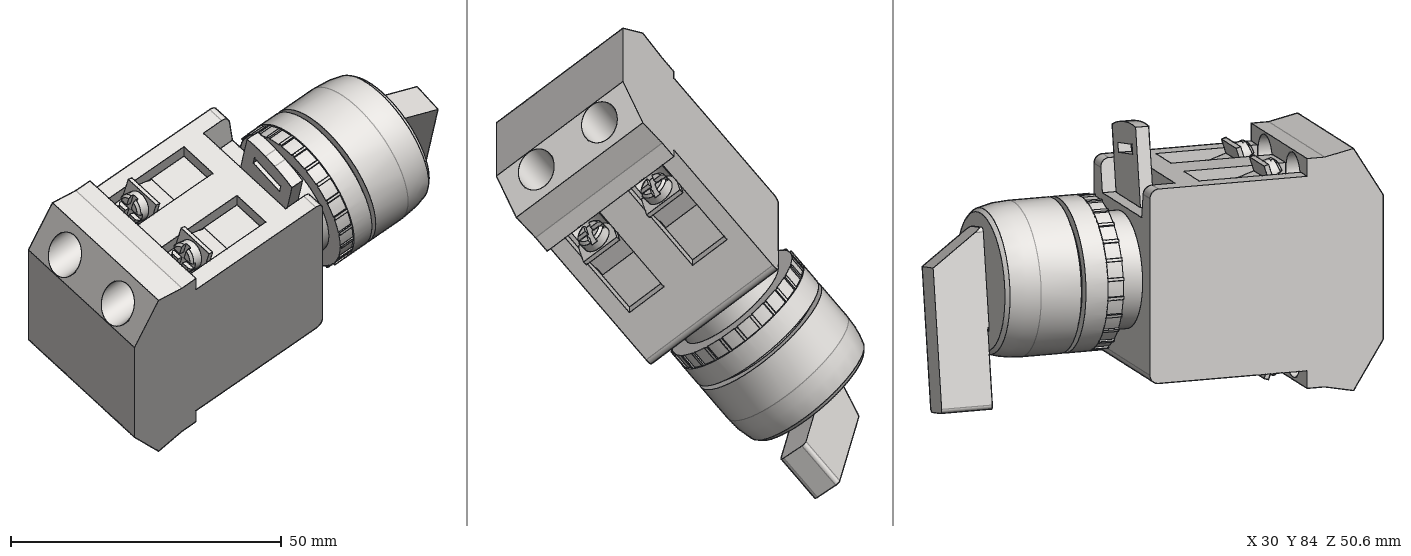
import cadquery as cq
import math


block_width = 30.0
block_half_height = 18.5
block_back_y = -45.95
corner_radius = 1.7
shoulder_y = -30.9
shoulder_half_height = 21.8
shoulder_slope_y = -34.35
peak_y = -40.1
peak_half_height = 23.0
back_half_height = 13.7

terminal_x = 7.5
pocket_width = 8.15
pocket_start_y = -10.9
pocket_floor_z = 15.6
wire_hole_radius = 3.8
wire_hole_z = 17.55
wire_hole_end_y = -25.2

clamp_tilt = 18.0
clamp_y = -25.9
clamp_z = 16.7
clamp_width = 7.9
clamp_depth = 4.6
clamp_plate_height = 3.95
clamp_plate_thickness = 0.9
clamp_body_height = 1.1
clamp_body_length = 8.4
screw_radius = 2.85
screw_lift = 0.6
screw_height = 2.5
screw_edge_chamfer = 0.5
screw_slot_width = 1.3
screw_slot_depth = 1.0

neck_radius = 11.0
neck_embed = 0.8
head_radius = 14.5
knurl_radius = 14.2
groove_radius = 12.5
ring_back_y = 4.95
knurl_end_y = 8.1
groove_start_y = 12.4
groove_end_y = 13.35
bezel_taper_y = 21.25
bezel_rim_y = 27.05
bezel_rim_radius = 13.6
bezel_face_y = 27.8
bezel_face_radius = 12.9
bezel_bulge = 0.25
ridge_count = 25
ridge_width = 0.6

turn_angle = 10.0
handle_width = 6.05
handle_tip_y = 38.05
handle_reach = 23.6
handle_back_y = 28.05
handle_end_radius = 0.8
handle_tip_top = 3.45
handle_base_top = 10.2
handle_base_y = 28.2
handle_root_bottom = -9.2
handle_embed = 0.8

lever_slot_length = 6.1
lever_slot_half_width = 11.6
lever_slot_floor_z = 12.2
lever_front_y = -2.5
lever_thickness = 2.6
lever_center = 1.35
lever_width = 12.85
lever_corner_height = 26.4
lever_crown_height = 27.1
lever_flat_width = 2.7
lever_crown_bulge = 0.2
lever_root_height = 10.5
window_length = 7.6
window_height = 1.85
window_center_height = 22.2


def xz_plane(y):
    """Plane facing -Y, with local x along X and local y along Z."""
    return cq.Workplane("XZ", origin=(0, y, 0))


def mirrored_down(solid):
    """Join a solid with its mirror image below the XY plane."""
    return solid.union(solid.mirror("XY"))


def make_block():
    half_outline = [
        (0, 0),
        (0, block_half_height),
        (shoulder_y, block_half_height),
        (shoulder_y, shoulder_half_height),
        (shoulder_slope_y, shoulder_half_height),
        (peak_y, peak_half_height),
        (block_back_y, back_half_height),
        (block_back_y, 0),
    ]
    upper = cq.Workplane("YZ").polyline(half_outline).close().extrude(block_width / 2, both=True)
    return mirrored_down(upper).edges("|X and >Y").fillet(corner_radius)


def make_terminal_cut(x):
    pocket_length = pocket_start_y - shoulder_y
    pocket = cq.Workplane("XY").box(
        pocket_width, pocket_length, block_half_height, centered=(True, False, False)
    ).translate((x, shoulder_y, pocket_floor_z))
    wire_hole = (
        xz_plane(wire_hole_end_y)
        .center(x, wire_hole_z)
        .circle(wire_hole_radius)
        .extrude(wire_hole_end_y - block_back_y)
    )
    return pocket.union(wire_hole)


def make_terminal(x):
    tilt = math.radians(clamp_tilt)
    face = cq.Workplane(cq.Plane(
        origin=(x, clamp_y, clamp_z),
        xDir=(1, 0, 0),
        normal=(0, -math.cos(tilt), math.sin(tilt)),
    ))

    def clamp_piece(top, length):
        """Block behind the clamp face, from the buried lower edge up to the given top."""
        height = top + clamp_depth
        return face.center(0, top - height / 2).rect(clamp_width, height).extrude(-length)

    screw_face = face.center(0, screw_lift)
    front_face = cq.selectors.NearestToPointSelector(
        screw_face.workplane(offset=screw_height).plane.origin.toTuple()
    )
    screw = screw_face.circle(screw_radius).extrude(screw_height)
    screw = screw.faces(front_face).chamfer(screw_edge_chamfer)
    slots = screw_face.workplane(offset=screw_height - screw_slot_depth)
    for size in ((2 * screw_radius, screw_slot_width), (screw_slot_width, 2 * screw_radius)):
        screw = screw.cut(slots.rect(*size).extrude(screw_slot_depth))

    plate = clamp_piece(clamp_plate_height, clamp_plate_thickness)
    body = clamp_piece(clamp_body_height, clamp_body_length)
    return plate.union(body).union(screw)


def make_head():
    bulge_point = (
        (bezel_rim_radius + head_radius) / 2 + bezel_bulge,
        (bezel_rim_y + bezel_taper_y) / 2,
    )
    head = (
        cq.Workplane("XY")
        .moveTo(0, -neck_embed)
        .lineTo(neck_radius, -neck_embed)
        .lineTo(neck_radius, ring_back_y)
        .lineTo(knurl_radius, ring_back_y)
        .lineTo(knurl_radius, knurl_end_y)
        .lineTo(head_radius, knurl_end_y)
        .lineTo(head_radius, groove_start_y)
        .lineTo(groove_radius, groove_start_y)
        .lineTo(groove_radius, groove_end_y)
        .lineTo(head_radius, groove_end_y)
        .lineTo(head_radius, bezel_taper_y)
        .threePointArc(bulge_point, (bezel_rim_radius, bezel_rim_y))
        .lineTo(bezel_face_radius, bezel_face_y)
        .lineTo(0, bezel_face_y)
        .close()
        .revolve(360, (0, 0, 0), (0, 1, 0))
    )
    ridge_depth = 2 * (head_radius - knurl_radius)
    ridge = (
        xz_plane(knurl_end_y)
        .center(head_radius - ridge_depth / 2, 0)
        .rect(ridge_depth, ridge_width)
        .extrude(knurl_end_y - ring_back_y)
    )
    for index in range(ridge_count):
        head = head.union(ridge.rotate((0, 0, 0), (0, 1, 0), index * 360 / ridge_count))
    return head


def turned(solid):
    """Tilt a part about the Y axis so that its upper end leans towards +X."""
    return solid.rotate((0, 0, 0), (0, 1, 0), turn_angle)


def make_handle():
    root_y = bezel_face_y - handle_embed
    side = [
        (handle_back_y, -handle_reach),
        (handle_tip_y, -handle_reach),
        (handle_tip_y, handle_tip_top),
        (handle_base_y, handle_base_top),
        (root_y, handle_base_top),
        (root_y, handle_root_bottom),
        (handle_back_y, handle_root_bottom),
    ]
    handle = cq.Workplane("YZ").polyline(side).close().extrude(handle_width / 2, both=True)
    return turned(handle.edges("|Y").fillet(handle_end_radius))


def make_lever_slot():
    floor_half_width = lever_slot_half_width - (
        (block_half_height - lever_slot_floor_z) * math.tan(math.radians(turn_angle))
    )
    section = [
        (-lever_slot_half_width, block_half_height),
        (lever_slot_half_width, block_half_height),
        (floor_half_width, lever_slot_floor_z),
        (-floor_half_width, lever_slot_floor_z),
    ]
    return xz_plane(0).polyline(section).close().extrude(lever_slot_length)


def make_lever():
    half_width = lever_width / 2
    half_flat = lever_flat_width / 2
    arc_x = (half_width + half_flat) / 2
    arc_height = (lever_corner_height + lever_crown_height) / 2 + lever_crown_bulge
    lever = (
        xz_plane(lever_front_y)
        .center(lever_center, 0)
        .moveTo(half_width, lever_root_height)
        .lineTo(half_width, lever_corner_height)
        .threePointArc((arc_x, arc_height), (half_flat, lever_crown_height))
        .lineTo(-half_flat, lever_crown_height)
        .threePointArc((-arc_x, arc_height), (-half_width, lever_corner_height))
        .lineTo(-half_width, lever_root_height)
        .close()
        .extrude(lever_thickness)
    )
    window = (
        xz_plane(lever_front_y)
        .center(lever_center, window_center_height)
        .rect(window_length, window_height)
        .extrude(lever_thickness)
    )
    return turned(lever.cut(window))


block = make_block().cut(make_lever_slot())
for x in (-terminal_x, terminal_x):
    block = block.cut(mirrored_down(make_terminal_cut(x)))
    block = block.union(mirrored_down(make_terminal(x)))

result = block.union(make_head()).union(make_handle()).union(make_lever())